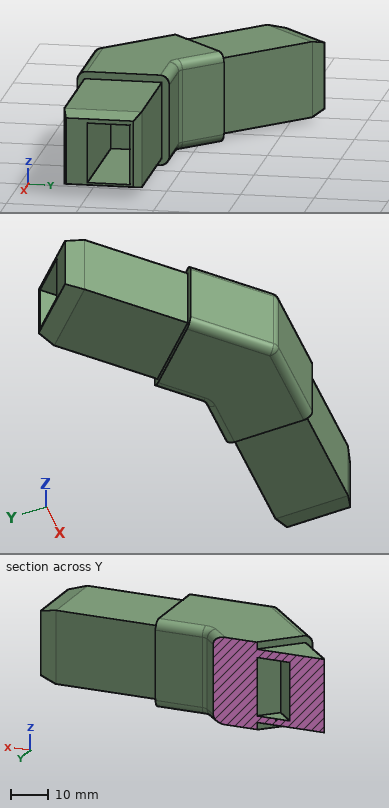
import cadquery as cq
import math

bend_angle = 135.0

sleeve_size = 25.0
sleeve_outer_length = 25.0
sleeve_radius = 2.5

plug_size = 21.0
plug_length = 35.0
taper_length = 5.0
taper_angle = 15.0

cavity_width = 11.5
cavity_height = 16.5
cavity_depth = plug_length
cavity_wall = 1.0
cavity_drop = 0.25

half_sleeve = sleeve_size / 2
corner_offset = half_sleeve / math.tan(math.radians(bend_angle / 2))
sleeve_end = sleeve_outer_length - corner_offset
plug_end = sleeve_end + plug_length
taper_start = plug_end - taper_length
half_tip = plug_size / 2 - taper_length * math.tan(math.radians(taper_angle))


def second_leg_point(distance, side):
    """XY point at a distance along the second leg and an offset to its left."""
    angle = math.radians(bend_angle)
    x = distance * math.cos(angle) - side * math.sin(angle)
    y = distance * math.sin(angle) + side * math.cos(angle)
    return (x, y)


def nearest_edge(x, y, z):
    return cq.selectors.NearestToPointSelector((x, y, z))


def make_sleeve():
    inner_corner = (corner_offset, half_sleeve)
    outer_corner = (-corner_offset, -half_sleeve)
    outline = [
        (sleeve_end, -half_sleeve),
        (sleeve_end, half_sleeve),
        inner_corner,
        second_leg_point(sleeve_end, -half_sleeve),
        second_leg_point(sleeve_end, half_sleeve),
        outer_corner,
    ]
    body = cq.Workplane("XY").polyline(outline).close().extrude(half_sleeve, both=True)

    for corner_x, corner_y in (inner_corner, outer_corner):
        body = body.edges("|Z").edges(nearest_edge(corner_x, corner_y, 0)).fillet(sleeve_radius)

    inner_middle = (corner_offset + sleeve_end) / 2
    outer_middle = (sleeve_end - corner_offset) / 2
    for z in (-half_sleeve, half_sleeve):
        for x, y in ((inner_middle, half_sleeve), (outer_middle, -half_sleeve)):
            body = body.edges("|X").edges(nearest_edge(x, y, z)).fillet(sleeve_radius)
    return body


def make_plug():
    """Plug on the first leg, reaching from the origin to the tip."""
    shank = cq.Workplane("YZ").rect(plug_size, plug_size).extrude(taper_start)
    tip = (
        cq.Workplane("YZ", origin=(taper_start, 0, 0))
        .rect(plug_size, plug_size)
        .extrude(taper_length, taper=taper_angle)
    )
    return shank.union(tip)


def make_cavity():
    """Blind cavity of the first leg, set towards the inside of the bend (+Y)."""
    center_y = half_tip - cavity_wall - cavity_width / 2
    return (
        cq.Workplane("YZ", origin=(plug_end, center_y, -cavity_drop))
        .rect(cavity_width, cavity_height)
        .extrude(-cavity_depth)
    )


def mirror_to_second_leg(leg_feature):
    """Copy of a first-leg feature, mirrored in the plane that bisects the bend."""
    return leg_feature.mirror("XZ").rotate((0, 0, 0), (0, 0, 1), bend_angle)


plug = make_plug()
cavity = make_cavity()

result = make_sleeve().union(plug).union(mirror_to_second_leg(plug))
result = result.cut(cavity).cut(mirror_to_second_leg(cavity)).solids()